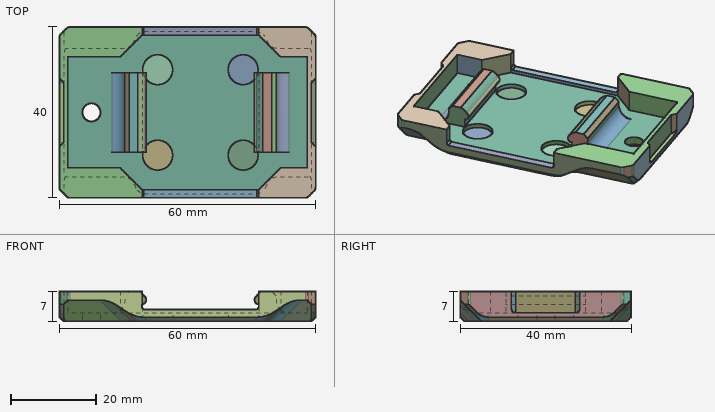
import math

import cadquery as cq

LENGTH = 60.0
WIDTH = 40.0
HEIGHT = 7.0
HALF_LENGTH = LENGTH / 2
HALF_WIDTH = WIDTH / 2
CORNER_CHAMFER = 2.0
CORNER_ROUND = 1.0

CRADLE_X = 3.0

FLOOR_Z = 2.0
SILL_Z = 2.8
POCKET_HALF_LENGTH = 28.0
POCKET_HALF_WIDTH = 13.0
OPENING_HALF_LENGTH = 13.65
OPENING_FOOT_BEVEL = 0.45
FLOOR_HALF_WIDTH = 18.1

EDGE_CHAMFER = 1.0
CORNER_RELIEF = 5.0
RELIEF_TOP_OFFSET = 21.5
RELIEF_BOTTOM_OFFSET = 15.4
RELIEF_BLEND = 7.0
END_BLEND = 4.0

END_RECESS_HALF_WIDTH = 8.0
END_RECESS_DEPTH = 1.0
END_RECESS_Z = 2.0
END_RECESS_ROUND = 1.0

MAGNET_DIAMETER = 7.0
MAGNET_DEPTH = 1.0
MAGNET_OFFSET = 10.0
HOLE_DIAMETER = 4.2
HOLE_X = -22.5

CLIP_LENGTH = 18.6
CLIP_THICKNESS = 4.05
CLIP_BACK_CHAMFER = 1.0
CLIP_ROOT_RADIUS = 3.0
CLIP_TOP_LENGTH = 2.1
NOSE_REACH = 1.0
NOSE_UNDERSIDE_Z = 4.0
NOSE_TIP_Z = 4.95
NOSE_SHOULDER_REACH = 0.6
NOSE_SHOULDER_Z = 5.85
NOSE_BULGE = 0.1
CLIP_EMBED = 1.0

CLEARANCE = 1.0


def make_body():
    block = cq.Workplane("XY").box(LENGTH, WIDTH, HEIGHT, centered=(True, True, False))
    block = block.edges("|Z").chamfer(CORNER_CHAMFER)
    return block.edges("|Z").fillet(CORNER_ROUND)


def blended_corner(corner, before, after, radius):
    """Return start, middle and end of an arc of given radius rounding a polyline corner."""
    to_before = (before - corner).normalized()
    to_after = (after - corner).normalized()
    half_angle = to_before.getAngle(to_after) / 2
    tangent_length = radius / math.tan(half_angle)
    gap = radius / math.sin(half_angle) - radius
    start = corner + to_before * tangent_length
    end = corner + to_after * tangent_length
    middle = corner + (to_before + to_after).normalized() * gap
    return start, middle, end


def oblique_prism(edges, direction):
    """Sweep a planar outline along a direction that need not be normal to it."""
    wire = cq.Wire.assembleEdges(edges)
    face = cq.Face.makeFromWires(wire)
    return cq.Workplane(obj=cq.Solid.extrudeLinear(face, direction))


def side_relief():
    """Cutter below the -Y side: deep 45 degree chamfer at the -X corner, shallow in the middle."""
    def point(x, z):
        return cq.Vector(x, -HALF_WIDTH, z)

    outer_high = point(-LENGTH, CORNER_RELIEF)
    high = point(CRADLE_X - RELIEF_TOP_OFFSET, CORNER_RELIEF)
    low = point(CRADLE_X - RELIEF_BOTTOM_OFFSET, EDGE_CHAMFER)
    inner_low = point(CRADLE_X, EDGE_CHAMFER)
    high_arc = blended_corner(high, outer_high, low, RELIEF_BLEND)
    low_arc = blended_corner(low, high, inner_low, RELIEF_BLEND)
    inner_base = point(CRADLE_X, -CLEARANCE)
    outer_base = point(-LENGTH, -CLEARANCE)
    edges = [
        cq.Edge.makeLine(outer_high, high_arc[0]),
        cq.Edge.makeThreePointArc(*high_arc),
        cq.Edge.makeLine(high_arc[2], low_arc[0]),
        cq.Edge.makeThreePointArc(*low_arc),
        cq.Edge.makeLine(low_arc[2], inner_low),
        cq.Edge.makeLine(inner_low, inner_base),
        cq.Edge.makeLine(inner_base, outer_base),
        cq.Edge.makeLine(outer_base, outer_high),
    ]
    run = CORNER_RELIEF + CLEARANCE
    return oblique_prism(edges, cq.Vector(run, run, -run))


def end_relief():
    """Cutter below the -X end: edge chamfer that sweeps up at 45 degrees towards the -Y corner."""
    def point(y, z):
        return cq.Vector(-HALF_LENGTH, y, z)

    middle = point(0, EDGE_CHAMFER)
    bend_y = -HALF_WIDTH + CORNER_RELIEF
    bend = point(bend_y, EDGE_CHAMFER)
    rise = CORNER_RELIEF + CLEARANCE
    outer_high = point(bend_y - rise, EDGE_CHAMFER + rise)
    outer_base = point(bend_y - rise, -CLEARANCE)
    middle_base = point(0, -CLEARANCE)
    arc = blended_corner(bend, middle, outer_high, END_BLEND)
    edges = [
        cq.Edge.makeLine(middle, arc[0]),
        cq.Edge.makeThreePointArc(*arc),
        cq.Edge.makeLine(arc[2], outer_high),
        cq.Edge.makeLine(outer_high, outer_base),
        cq.Edge.makeLine(outer_base, middle_base),
        cq.Edge.makeLine(middle_base, middle),
    ]
    run = CORNER_RELIEF + CLEARANCE
    return oblique_prism(edges, cq.Vector(run, 0, -run))


def mirror_about_cradle(part):
    return part.mirror("YZ").translate((2 * CRADLE_X, 0, 0))


def cut_underside(body):
    side = side_relief()
    end = end_relief()
    for cutter in (side, mirror_about_cradle(side), end, end.mirror("YZ")):
        body = body.cut(cutter).cut(cutter.mirror("XZ"))
    return body


def cut_floor(body):
    """Lower the floor, widening at 45 degrees from the end pockets to the side openings."""
    flare = FLOOR_HALF_WIDTH - POCKET_HALF_WIDTH
    left_mouth = CRADLE_X - OPENING_HALF_LENGTH
    right_mouth = CRADLE_X + OPENING_HALF_LENGTH
    upper_half = [
        (-POCKET_HALF_LENGTH, POCKET_HALF_WIDTH),
        (left_mouth - flare, POCKET_HALF_WIDTH),
        (left_mouth, FLOOR_HALF_WIDTH),
        (right_mouth, FLOOR_HALF_WIDTH),
        (right_mouth + flare, POCKET_HALF_WIDTH),
        (POCKET_HALF_LENGTH, POCKET_HALF_WIDTH),
    ]
    lower_half = [(x, -y) for x, y in reversed(upper_half)]
    pocket = cq.Workplane("XY").workplane(offset=FLOOR_Z)
    pocket = pocket.polyline(upper_half + lower_half).close().extrude(HEIGHT)
    return body.cut(pocket)


def cut_side_openings(body):
    """Open both long sides down to the sill, with a small bevel at each foot."""
    height = HEIGHT - SILL_Z + CLEARANCE
    opening = cq.Workplane("XY").box(
        2 * OPENING_HALF_LENGTH, WIDTH + CLEARANCE, height, centered=(True, True, False)
    )
    opening = opening.edges("|Y and <Z").chamfer(OPENING_FOOT_BEVEL)
    return body.cut(opening.translate((CRADLE_X, 0, SILL_Z)))


def cut_end_recesses(body):
    """Shallow recess in each end face with slanted sides and rounded lower corners."""
    inner_half = END_RECESS_HALF_WIDTH - END_RECESS_DEPTH
    plan = [
        (-HALF_LENGTH, -END_RECESS_HALF_WIDTH),
        (-HALF_LENGTH + END_RECESS_DEPTH, -inner_half),
        (-HALF_LENGTH + END_RECESS_DEPTH, inner_half),
        (-HALF_LENGTH, END_RECESS_HALF_WIDTH),
    ]
    recess = cq.Workplane("XY").polyline(plan).close().extrude(HEIGHT)
    rounded = cq.Workplane("XY").box(
        LENGTH, 2 * END_RECESS_HALF_WIDTH, HEIGHT, centered=(True, True, False)
    )
    rounded = rounded.edges("|X and <Z").fillet(END_RECESS_ROUND)
    recess = recess.translate((0, 0, END_RECESS_Z))
    recess = recess.intersect(rounded.translate((0, 0, END_RECESS_Z)))
    return body.cut(recess).cut(recess.mirror("YZ"))


def cut_round_features(body):
    """Four blind magnet seats and one through hole in the floor."""
    seats = cq.Workplane("XY").workplane(offset=FLOOR_Z - MAGNET_DEPTH).center(CRADLE_X, 0)
    seats = seats.rect(2 * MAGNET_OFFSET, 2 * MAGNET_OFFSET, forConstruction=True).vertices()
    seats = seats.circle(MAGNET_DIAMETER / 2).extrude(MAGNET_DEPTH)
    hole = cq.Workplane("XY").center(HOLE_X, 0).circle(HOLE_DIAMETER / 2).extrude(HEIGHT)
    return body.cut(seats).cut(hole)


def make_clip():
    """Hooked retaining bar on the +X side, nose pointing to -X, blended into the floor behind."""
    face = CRADLE_X + OPENING_HALF_LENGTH
    back = face + CLIP_THICKNESS
    nose_top = (back - CLIP_BACK_CHAMFER - CLIP_TOP_LENGTH, HEIGHT)
    shoulder = (face - NOSE_SHOULDER_REACH, NOSE_SHOULDER_Z)
    nose_middle = (
        (nose_top[0] + shoulder[0]) / 2 - NOSE_BULGE,
        (nose_top[1] + shoulder[1]) / 2 + NOSE_BULGE,
    )
    root_z = FLOOR_Z + CLIP_ROOT_RADIUS
    root_inset = CLIP_ROOT_RADIUS * (1 - math.sqrt(0.5))
    profile = (
        cq.Workplane("XZ", origin=(0, CLIP_LENGTH / 2, 0))
        .moveTo(face, FLOOR_Z - CLIP_EMBED)
        .lineTo(face, NOSE_UNDERSIDE_Z)
        .threePointArc((face - NOSE_REACH, NOSE_TIP_Z), shoulder)
        .threePointArc(nose_middle, nose_top)
        .lineTo(back - CLIP_BACK_CHAMFER, HEIGHT)
        .lineTo(back, HEIGHT - CLIP_BACK_CHAMFER)
        .lineTo(back, root_z)
        .threePointArc((back + root_inset, FLOOR_Z + root_inset), (back + CLIP_ROOT_RADIUS, FLOOR_Z))
        .lineTo(back + CLIP_ROOT_RADIUS, FLOOR_Z - CLIP_EMBED)
        .close()
    )
    return profile.extrude(CLIP_LENGTH)


body = make_body()
body = cut_underside(body)
body = cut_side_openings(body)
body = cut_floor(body)
body = cut_end_recesses(body)
body = cut_round_features(body)
clip = make_clip()
result = body.union(clip).union(mirror_about_cradle(clip))